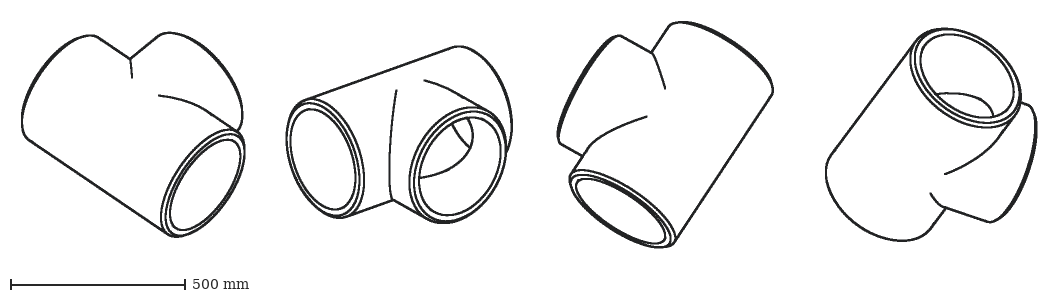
import cadquery as cq

run_length = 559.0
branch_length = run_length / 2
outer_diameter = 355.5
bore_diameter = 299.5
end_chamfer = 9.5


def pipe_body(start_plane, length):
    """Solid outer cylinder of one pipe, extruded from its start plane."""
    return start_plane.circle(outer_diameter / 2).extrude(length)


def pipe_bore(start_plane, length):
    """Cylinder that hollows one pipe."""
    return start_plane.circle(bore_diameter / 2).extrude(length)


run_start = cq.Workplane("YZ", origin=(-run_length / 2, 0, 0))
branch_start = cq.Workplane("XZ").transformed(rotate=(180, 0, 0))

run_body = pipe_body(run_start, run_length).edges("%CIRCLE").chamfer(end_chamfer)
branch_body = pipe_body(branch_start, branch_length).faces(">Y").edges().chamfer(end_chamfer)
tee_body = run_body.union(branch_body)

run_bore = pipe_bore(run_start, run_length)
branch_bore = pipe_bore(branch_start, branch_length)
result = tee_body.cut(run_bore).cut(branch_bore)